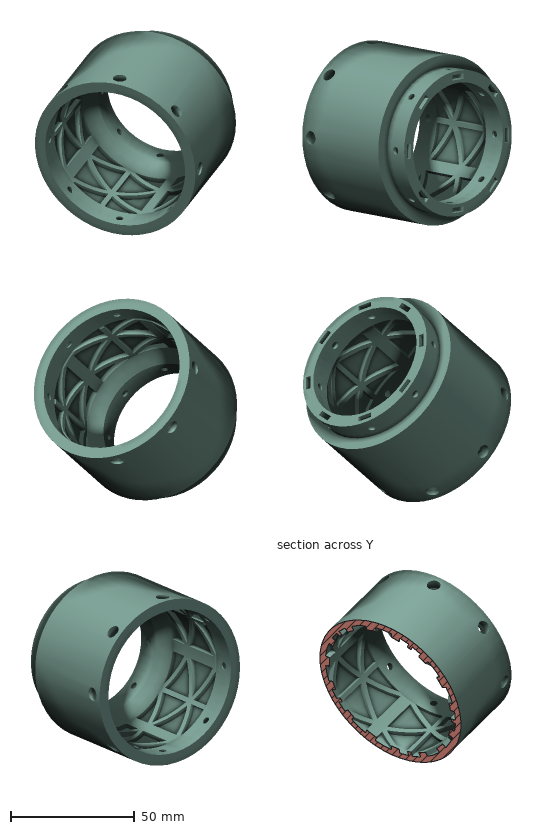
import cadquery as cq
import math

body_diameter = 70.0
spigot_diameter = 60.0
bore_diameter = 60.0
socket_diameter = 61.0
throat_diameter = 50.0
total_length = 55.0
joint_length = 10.0
body_length = total_length - joint_length
front_y = -total_length / 2

body_radius = body_diameter / 2
spigot_radius = spigot_diameter / 2
bore_radius = bore_diameter / 2
socket_radius = socket_diameter / 2
throat_radius = throat_diameter / 2
bore_end = body_length - (bore_radius - throat_radius)
bore_start = joint_length + socket_radius - bore_radius

screw_count = 8
screw_diameter = 3.0
head_diameter = 5.5
head_depth = 4.0

nut_width = 6.0
nut_thickness = 2.2
nut_cover = 1.55

panel_count = 5
panel_pitch = 360 / panel_count
first_panel_angle = 90 + panel_pitch / 2
rows_per_column = 4
rib_width = 2.0
pocket_depth = 2.0
pocket_floor_radius = bore_radius + pocket_depth
pocket_zone_length = bore_end - joint_length
cell_side = pocket_zone_length / 1.5
pocket_side = cell_side - math.sqrt(3) * rib_width
pocket_height = pocket_side * math.sqrt(3) / 2
cut_overlap = 0.7


def make_sleeve():
    """Revolve the stepped wall section, given as (radius, distance from the front)."""
    section = [
        (socket_radius, 0),
        (body_radius, 0),
        (body_radius, body_length),
        (spigot_radius, body_length),
        (spigot_radius, total_length),
        (throat_radius, total_length),
        (throat_radius, body_length),
        (bore_radius, bore_end),
        (bore_radius, bore_start),
        (socket_radius, joint_length),
    ]
    points = [(radius, front_y + distance) for radius, distance in section]
    return cq.Workplane("XY").polyline(points).close().revolve(360, (0, 0, 0), (0, 1, 0))


def ring(inner_radius, outer_radius, start, end):
    """Tube between two distances from the front."""
    plane = cq.Workplane("XZ", origin=(0, front_y + end, 0))
    return plane.circle(outer_radius).circle(inner_radius).extrude(end - start)


def around_axis(shape, count, first_angle=0.0):
    """Copies of a shape equally spaced around the Y axis."""
    step = 360 / count
    return [shape.rotate((0, 0, 0), (0, 1, 0), first_angle + i * step) for i in range(count)]


def radial_cylinder(diameter, distance, inner_radius, outer_radius):
    """Cylinder pointing up from the axis, at a distance from the front."""
    base = cq.Workplane("XY", origin=(0, front_y + distance, inner_radius))
    return base.circle(diameter / 2).extrude(outer_radius - inner_radius).val()


def pocket_prism(middle, direction):
    """Triangle with radial side walls on the +Z side of the bore, its apex towards direction along X."""
    half_angle = pocket_height / bore_radius / 2
    wires = []
    for radius in (throat_radius, body_radius):
        half_width = direction * radius * math.tan(half_angle)
        corners = [
            cq.Vector(-half_width, front_y + middle - pocket_side / 2, radius),
            cq.Vector(-half_width, front_y + middle + pocket_side / 2, radius),
            cq.Vector(half_width, front_y + middle, radius),
        ]
        wires.append(cq.Wire.makePolygon(corners, close=True))
    return cq.Solid.makeLoft(wires, True)


def pocket_panel():
    """Two mirrored columns of interlocking triangles around the +Z direction."""
    base_angle = math.degrees((rib_width / 2 + pocket_height / 2) / bore_radius)
    apex_angle = math.degrees((rib_width + pocket_height / 2) / bore_radius)
    pockets = []
    for side in (-1, 1):
        for row in range(rows_per_column):
            middle = joint_length + row * cell_side / 2
            base_inward = row % 2 == 0
            direction = side if base_inward else -side
            angle = side * (base_angle if base_inward else apex_angle)
            pockets.append(pocket_prism(middle, direction).rotate((0, 0, 0), (0, 1, 0), angle))
    return pockets


def nut_slot():
    """Flat slot above the axis, from the near side of a nut centred on its screw to the rear face."""
    slot_length = joint_length / 2 + nut_width / 2
    top = spigot_radius - nut_cover
    slot = cq.Workplane("XY").box(nut_width, slot_length, nut_thickness, centered=(True, False, False))
    return slot.translate((0, front_y + total_length - slot_length, top - nut_thickness)).val()


sleeve = make_sleeve()

pocket_zone = ring(bore_radius - cut_overlap, pocket_floor_radius, joint_length, bore_end).val()
for pocket in pocket_panel():
    trimmed = pocket.intersect(pocket_zone)
    for cutter in around_axis(trimmed, panel_count, first_panel_angle):
        sleeve = sleeve.cut(cq.Workplane(cutter))

socket_screw = radial_cylinder(screw_diameter, joint_length / 2, throat_radius, body_radius)
socket_head = radial_cylinder(head_diameter, joint_length / 2, body_radius - head_depth, body_radius)
spigot_screw = radial_cylinder(
    screw_diameter, total_length - joint_length / 2, throat_radius - cut_overlap, body_radius
)
for hole in (socket_screw, socket_head, spigot_screw, nut_slot()):
    for cutter in around_axis(hole, screw_count):
        sleeve = sleeve.cut(cq.Workplane(cutter))

result = sleeve